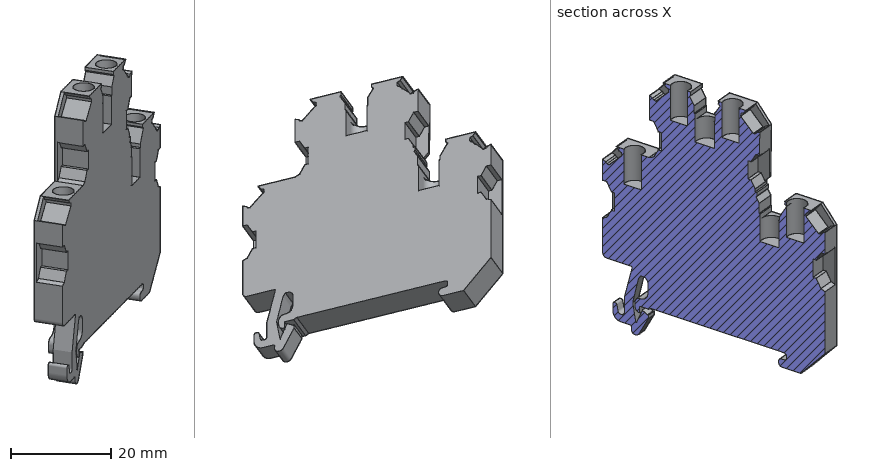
import math

import cadquery as cq


WIDTH = 6.1
LENGTH = 54.0
HEIGHT = 59.85

TOWER_FRONT = 11.37
TOWER_BACK = 38.2
FRONT_STEP_Z = 41.72
BACK_STEP_Z = 41.91
FRONT_BOTTOM_Z = 15.38
BACK_BOTTOM_Z = 3.73
BACK_BOTTOM_Y = 48.05
BACK_BEVEL_Z = 10.16

BEVEL_RUN = 3.37
BEVEL_DROP = 4.0

UPPER_NOTCH_FLOOR_Z = 53.75
LOWER_NOTCH_FLOOR_Z = 35.94
UPPER_NOTCH_Y = (22.45, 27.05)
LOWER_NOTCH_Y = (38.2, 42.7)
UPPER_LIP_Y = (21.4, 28.02)
LOWER_LIP_Y = (37.5, 44.14)
NOTCH_SLOT_WALL = 1.06
NOTCH_SLOT_DEPTH = 5.0

SCREW_HOLE_DIAMETER = 4.28
SCREW_HOLE_DEPTH = 8.0
SCREW_HOLE_X = 3.42

BEVEL_POCKET_WALL = 0.75
WIRE_ENTRY_WALL = 0.55
WIRE_ENTRY_HEIGHT = 8.5
WIRE_ENTRY_DEPTH = 2.9
FUNNEL_START = 1.0
FUNNEL_END = 2.15
FUNNEL_RISE = 2.0
FUNNEL_SILL = 0.42
BEVEL_LIP = 0.08
LOWER_ENTRY_Z = 24.35

RAIL_SEAT_Z = 7.2
SEAT_EDGE_Z = 6.85
NOSE_TOP_Z = 8.73
NOSE_BOTTOM_Z = 5.34
NOSE_Y = (7.83, 9.07)
WINDOW_BACK_Y = 10.93
HOOK_TIP_Y = 42.63
HOOK_TOP_Z = 5.68
HOOK_TAPER = 0.1
HOOK_SLOT_END_Y = 44.55
CLIP_ROOT_Z = 13.89
NECK_CORNER = (7.05, 14.8)
CLIP_KNEE = (5.25, 7.8)
NECK_SLOPE = (NECK_CORNER[0] - CLIP_KNEE[0]) / (NECK_CORNER[1] - CLIP_KNEE[1])
CLIP_ROOT_Y = CLIP_KNEE[0] + NECK_SLOPE * (CLIP_ROOT_Z - CLIP_KNEE[1])
CLIP_X = 2.05
TAB_FRONT_Y = 2.45
TAB_TIP_Z = 5.9
TAB_FLOOR_Z = 3.67
TAB_BOTTOM_Z = 1.86
LATCH_FRONT_Y = 6.95

OVERSHOOT = 1.0


def rounded_prism(corners, x_start, x_end):
    """Extrude a closed YZ outline of (y, z) or (y, z, corner radius) entries along X."""
    count = len(corners)
    path = []
    for index, corner in enumerate(corners):
        point = cq.Vector(corner[0], corner[1], 0)
        radius = corner[2] if len(corner) > 2 else 0
        if radius == 0:
            path.append((point,))
            continue
        before = cq.Vector(*corners[index - 1][:2], 0)
        after = cq.Vector(*corners[(index + 1) % count][:2], 0)
        to_before = (before - point).normalized()
        to_after = (after - point).normalized()
        half_angle = to_before.getAngle(to_after) / 2
        tangent_length = radius / math.tan(half_angle)
        bisector = (to_before + to_after).normalized()
        middle = point + bisector * (radius / math.sin(half_angle) - radius)
        path.append((point + to_before * tangent_length, middle, point + to_after * tangent_length))

    sketch = cq.Workplane("YZ", origin=(x_start, 0, 0)).moveTo(path[0][0].x, path[0][0].y)
    for index, stretch in enumerate(path):
        if index > 0:
            sketch = sketch.lineTo(stretch[0].x, stretch[0].y)
        if len(stretch) > 1:
            sketch = sketch.threePointArc((stretch[1].x, stretch[1].y), (stretch[2].x, stretch[2].y))
    return sketch.close().extrude(x_end - x_start)


def housing():
    """Main body: two terminal levels, rail hook, rail seat and the window behind the clip."""
    front_end = [
        (CLIP_ROOT_Y, CLIP_ROOT_Z),
        NECK_CORNER,
        (NECK_CORNER[0], FRONT_BOTTOM_Z),
        (0, FRONT_BOTTOM_Z, 0.95),
        (0, FRONT_STEP_Z - BEVEL_DROP),
        (BEVEL_RUN, FRONT_STEP_Z),
        (TOWER_FRONT, FRONT_STEP_Z),
    ]
    tower = [
        (TOWER_FRONT, HEIGHT - BEVEL_DROP),
        (TOWER_FRONT + BEVEL_RUN, HEIGHT),
        (UPPER_LIP_Y[0], HEIGHT),
        (UPPER_LIP_Y[0], 59.0),
        (21.16, 58.75),
        (22.27, 56.95),
        (22.27, 55.25),
        (UPPER_NOTCH_Y[0], 55.1),
        (UPPER_NOTCH_Y[0], UPPER_NOTCH_FLOOR_Z),
        (UPPER_NOTCH_Y[1], UPPER_NOTCH_FLOOR_Z),
        (UPPER_NOTCH_Y[1], 54.85),
        (27.2, 55.05),
        (27.2, 56.82),
        (28.43, 58.75),
        (UPPER_LIP_Y[1], 59.2),
        (UPPER_LIP_Y[1], HEIGHT),
        (TOWER_BACK - BEVEL_RUN, HEIGHT),
        (TOWER_BACK, HEIGHT - BEVEL_DROP),
    ]
    tower_foot = [
        (38.05, 43.93),
        (37.06, 42.87),
        (37.06, BACK_STEP_Z),
        (LOWER_LIP_Y[0], BACK_STEP_Z),
        (LOWER_LIP_Y[0], 41.1),
        (37.28, 40.8),
        (38.05, 39.6),
        (38.05, 37.3),
        (LOWER_NOTCH_Y[0], 37.15),
        (LOWER_NOTCH_Y[0], LOWER_NOTCH_FLOOR_Z),
        (LOWER_NOTCH_Y[1], LOWER_NOTCH_FLOOR_Z),
        (LOWER_NOTCH_Y[1], 37.15),
        (42.9, 37.35),
        (42.9, 38.1),
        (44.58, 40.88),
        (LOWER_LIP_Y[1], 41.3),
    ]
    back_end = [
        (LOWER_LIP_Y[1], BACK_STEP_Z),
        (LENGTH - BEVEL_RUN, BACK_STEP_Z),
        (LENGTH, BACK_STEP_Z - BEVEL_DROP),
        (LENGTH, BACK_BEVEL_Z),
        (BACK_BOTTOM_Y, BACK_BOTTOM_Z),
    ]
    rail_hook = [
        (HOOK_TIP_Y, BACK_BOTTOM_Z, 0.95),
        (HOOK_TIP_Y, HOOK_TOP_Z - HOOK_TAPER, 0.8),
        (HOOK_SLOT_END_Y, HOOK_TOP_Z + HOOK_TAPER, 0.4),
        (HOOK_SLOT_END_Y, RAIL_SEAT_Z - HOOK_TAPER, 0.4),
        (43.5, RAIL_SEAT_Z),
    ]
    nose = [
        (11.8, RAIL_SEAT_Z),
        (11.1, SEAT_EDGE_Z),
        (NOSE_Y[1], SEAT_EDGE_Z),
        (NOSE_Y[1], NOSE_BOTTOM_Z),
        (NOSE_Y[0], NOSE_BOTTOM_Z, 1.2),
        (NOSE_Y[0], NOSE_TOP_Z, 1.3),
    ]
    window = [
        (WINDOW_BACK_Y, NOSE_TOP_Z, 1.65),
        (WINDOW_BACK_Y, CLIP_ROOT_Z, 1.1),
    ]
    outline = front_end + tower + tower_foot + back_end + rail_hook + nose + window
    return rounded_prism(outline, 0, WIDTH)


def rail_clip():
    """Springy foot that hangs below the housing and snaps under the rail."""
    release_tab = [
        (CLIP_ROOT_Y, CLIP_ROOT_Z),
        CLIP_KNEE,
        (CLIP_KNEE[0], TAB_FLOOR_Z, 0.6),
        (3.95, TAB_FLOOR_Z, 0.7),
        (3.5, TAB_TIP_Z, 0.4),
        (TAB_FRONT_Y, TAB_TIP_Z, 0.5),
        (TAB_FRONT_Y, TAB_BOTTOM_Z, 2.0),
        (LATCH_FRONT_Y, TAB_BOTTOM_Z, 0.3),
    ]
    latch_finger = [
        (LATCH_FRONT_Y, 0, 0.95),
        (8.6, 0, 1.0),
        (11.2, 4.78),
        (11.2, 5.6),
        (10.93, 5.55),
        (9.66, 6.27),
        (8.14, 2.9),
    ]
    spring_arm = [
        (7.4, 7.3),
        (8.8, 13.2, 0.8),
        (9.3, CLIP_ROOT_Z),
    ]
    return rounded_prism(release_tab + latch_finger + spring_arm, CLIP_X, WIDTH)


def end_recess(profile, face_y, base_z, inward, wall):
    """Prism cutter from (depth behind the face, height above the base) points."""
    points = [(face_y + inward * depth, base_z + height) for depth, height in profile]
    return rounded_prism(points, wall, WIDTH + OVERSHOOT)


def bevel_pocket(face_y, top_z, inward):
    """Recess in a sloped corner, leaving a lip at its upper and lower edges."""
    profile = [
        (BEVEL_RUN, -BEVEL_LIP),
        (BEVEL_RUN + 0.1, -0.12),
        (BEVEL_RUN + 0.55, -0.85),
        (BEVEL_RUN + 1.2, -1.1),
        (BEVEL_RUN + 1.28, -1.75),
        (1.6, -BEVEL_DROP - 0.75),
        (1.15, -BEVEL_DROP - 0.65),
        (0.85, -BEVEL_DROP - 0.3),
        (0.1, -BEVEL_DROP),
        (-OVERSHOOT, -BEVEL_DROP),
        (-OVERSHOOT, -BEVEL_LIP),
    ]
    return end_recess(profile, face_y, top_z, inward, BEVEL_POCKET_WALL)


def wire_entry(face_y, base_z, inward):
    """Funnel-shaped recess in an upright end face where a wire enters."""
    profile = [
        (0, WIRE_ENTRY_HEIGHT),
        (FUNNEL_START, WIRE_ENTRY_HEIGHT),
        (FUNNEL_END, WIRE_ENTRY_HEIGHT - FUNNEL_RISE),
        (WIRE_ENTRY_DEPTH, WIRE_ENTRY_HEIGHT - FUNNEL_RISE),
        (WIRE_ENTRY_DEPTH, FUNNEL_SILL + FUNNEL_RISE),
        (FUNNEL_END, FUNNEL_SILL + FUNNEL_RISE),
        (FUNNEL_START, FUNNEL_SILL),
        (0, 0),
        (-OVERSHOOT, 0),
        (-OVERSHOOT, WIRE_ENTRY_HEIGHT),
    ]
    return end_recess(profile, face_y, base_z, inward, WIRE_ENTRY_WALL)


def screw_hole(centre_y, top_z):
    """Blind round hole sunk from a terminal top."""
    plane = cq.Workplane("XY", origin=(SCREW_HOLE_X, centre_y, top_z))
    return plane.circle(SCREW_HOLE_DIAMETER / 2).extrude(-SCREW_HOLE_DEPTH)


def notch_slot(notch_y, floor_z):
    """Slot in a notch floor: half-round towards -X, open on the +X side, as wide as the notch."""
    front, back = notch_y
    radius = (back - front) / 2
    middle = (front + back) / 2
    centre_x = NOTCH_SLOT_WALL + radius
    open_x = WIDTH + OVERSHOOT
    return (
        cq.Workplane("XY", origin=(0, 0, floor_z))
        .moveTo(open_x, front)
        .lineTo(centre_x, front)
        .threePointArc((NOTCH_SLOT_WALL, middle), (centre_x, back))
        .lineTo(open_x, back)
        .close()
        .extrude(-NOTCH_SLOT_DEPTH)
    )


result = housing().union(rail_clip())

terminals = [
    (0, FRONT_STEP_Z, 1, LOWER_ENTRY_Z, 7.34),
    (TOWER_FRONT, HEIGHT, 1, FRONT_STEP_Z, 18.55),
    (TOWER_BACK, HEIGHT, -1, BACK_STEP_Z, 31.05),
    (LENGTH, BACK_STEP_Z, -1, LOWER_ENTRY_Z, 46.72),
]
for end_y, terminal_top_z, into_body, entry_z, screw_y in terminals:
    result = result.cut(bevel_pocket(end_y, terminal_top_z, into_body))
    result = result.cut(wire_entry(end_y, entry_z, into_body))
    result = result.cut(screw_hole(screw_y, terminal_top_z))

for span, notch_floor_z in [
    (UPPER_NOTCH_Y, UPPER_NOTCH_FLOOR_Z),
    (LOWER_NOTCH_Y, LOWER_NOTCH_FLOOR_Z),
]:
    result = result.cut(notch_slot(span, notch_floor_z))